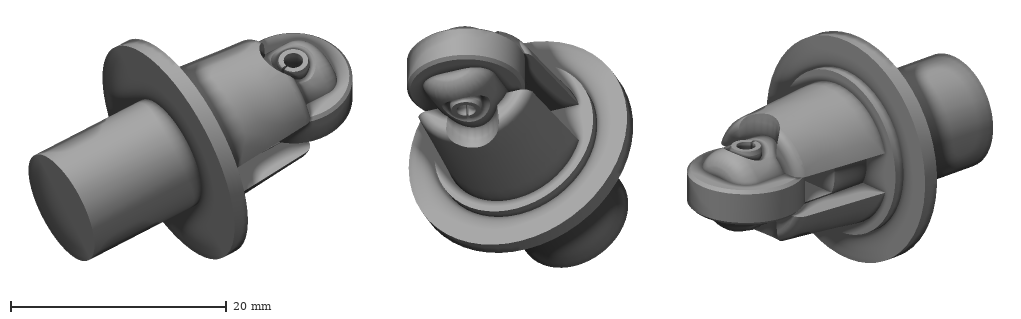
import cadquery as cq
import math


stem_radius = 5.5
stem_length = 12.0
flange_radius = 11.0
flange_thickness = 1.5

collar_radius = 8.0
collar_thickness = 1.0
nose_tip_radius = 6.0
nose_length = 10.0
nose_tip_fillet = 1.0
nose_slot_width = 4.0
draft = math.radians(5)
relief_radius = 3.0

plunger_radius = 4.0
plunger_overhang = 5.0
plunger_dome_fillet = 2.0
plunger_slot_width = 3.6
plunger_slot_depth = 11.0
countersink = 0.5

roller_radius = 5.5
roller_width = 3.5
roller_chamfer = 0.3
roller_overhang = 2.0

pin_radius = 1.5
pin_bore_radius = 0.9
pin_length = 2 * plunger_radius
pin_taper_length = 0.45
pin_taper = math.radians(15)
slit_start = math.radians(7)
slit_end = math.radians(19)

flange_end = stem_length + flange_thickness
collar_end = flange_end + collar_thickness
nose_end = collar_end + nose_length
plunger_end = nose_end + plunger_overhang
slot_floor = plunger_end - plunger_slot_depth
pin_y = plunger_end + roller_overhang - roller_radius


def bar_along_y(radius, start, end):
    """Round bar on the Y axis from start to end."""
    return cq.Workplane("XZ", origin=(0, start, 0)).circle(radius).extrude(start - end)


def bar_along_pin(radius, length):
    """Round bar on the pin axis, centred on Z = 0."""
    return cq.Workplane("XY", origin=(0, pin_y, -length / 2)).circle(radius).extrude(length)


def slot_across_x(width, start, end):
    """Block, as wide along Z as the slot it cuts, that runs through the part along X."""
    block = cq.Workplane("XY").box(2 * collar_radius, end - start, width)
    return block.translate((0, (start + end) / 2, 0))


def both_ends(cutter):
    """The cutter and its mirror image below Z = 0, as one cutter."""
    return cutter.union(cutter.mirror("XY"))


def make_stem():
    return bar_along_y(stem_radius, 0, stem_length)


def make_flange():
    return bar_along_y(flange_radius, stem_length, flange_end)


def make_nose():
    """Drafted cone with a rounded rim."""
    base_radius = nose_tip_radius + nose_length * math.tan(draft)
    profile = [(0, collar_end), (base_radius, collar_end), (nose_tip_radius, nose_end), (0, nose_end)]
    nose = cq.Workplane("XY").polyline(profile).close().revolve(360, (0, 0, 0), (0, 1, 0))
    return nose.faces(">Y").edges().fillet(nose_tip_fillet)


def make_reliefs():
    """Round openings around the pin ends that widen outward with the draft."""
    floor = plunger_slot_width / 2
    top = collar_radius
    floor_radius = relief_radius - (plunger_radius - floor) * math.tan(draft)
    top_radius = relief_radius + (top - plunger_radius) * math.tan(draft)
    profile = [(0, floor), (floor_radius, floor), (top_radius, top), (0, top)]
    upper = cq.Workplane("XZ").polyline(profile).close().revolve(360, (0, 0, 0), (0, 1, 0))
    return both_ends(upper.translate((0, pin_y, 0)))


def make_guard():
    collar = bar_along_y(collar_radius, flange_end, collar_end)
    nose = make_nose()
    nose = nose.cut(bar_along_y(plunger_radius, collar_end, nose_end))
    nose = nose.cut(slot_across_x(nose_slot_width, collar_end, nose_end))
    nose = nose.cut(make_reliefs())
    return collar.union(nose)


def make_countersinks():
    """Elliptical cones that bevel the pin hole by the same amount all round the curved plunger.

    The inner rim of the bevel lies on the hole and the outer rim on the plunger surface.
    On the two X sides, where the plunger surface falls away, the rims are lower and the bevel wider.
    """
    middle_radius = pin_radius + countersink
    side_inner_z = math.sqrt((plunger_radius - countersink) ** 2 - middle_radius**2)
    surface_scale = plunger_radius / (plunger_radius - countersink)
    side_outer_x = middle_radius * surface_scale
    side_outer_z = side_inner_z * surface_scale
    side_slope = (side_outer_x - pin_radius) / (side_outer_z - side_inner_z)

    height = plunger_radius - side_inner_z
    top_x = pin_radius + height * side_slope
    top_y = middle_radius
    upper = (
        cq.Workplane("XY", origin=(0, pin_y, side_inner_z))
        .ellipse(pin_radius, top_y - height)
        .workplane(offset=height)
        .ellipse(top_x, top_y)
        .loft(ruled=True)
    )
    return both_ends(upper)


def make_plunger():
    plunger = bar_along_y(plunger_radius, collar_end, plunger_end)
    plunger = plunger.faces(">Y").edges().fillet(plunger_dome_fillet)
    plunger = plunger.cut(bar_along_pin(pin_radius, pin_length))
    plunger = plunger.cut(make_countersinks())
    return plunger.cut(slot_across_x(plunger_slot_width, slot_floor, plunger_end))


def make_roller():
    roller = bar_along_pin(roller_radius, roller_width)
    roller = roller.faces("|Z").edges().chamfer(roller_chamfer)
    return roller.cut(bar_along_pin(pin_radius, roller_width))


def make_pin():
    """Tube with tapered ends, split along one side."""
    end_radius = pin_radius - pin_taper_length * math.tan(pin_taper)
    end_z = pin_length / 2
    taper_z = end_z - pin_taper_length
    wall = [
        (pin_bore_radius, -end_z),
        (end_radius, -end_z),
        (pin_radius, -taper_z),
        (pin_radius, taper_z),
        (end_radius, end_z),
        (pin_bore_radius, end_z),
    ]
    pin = cq.Workplane("XZ", origin=(0, pin_y, 0)).polyline(wall).close()
    pin = pin.revolve(360, (0, 0, 0), (0, 1, 0))
    reach = 2 * pin_radius
    corners = [(reach * math.sin(angle), -reach * math.cos(angle)) for angle in (slit_start, slit_end)]
    slit = cq.Workplane("XY", origin=(0, pin_y, 0)).polyline([(0, 0), *corners]).close()
    return pin.cut(slit.extrude(end_z, both=True))


stem = make_stem()
flange = make_flange()
guard = make_guard()
plunger = make_plunger()
roller = make_roller()
pin = make_pin()

result = cq.Compound.makeCompound(
    [stem.val(), flange.val(), guard.val(), plunger.val(), roller.val(), pin.val()]
)